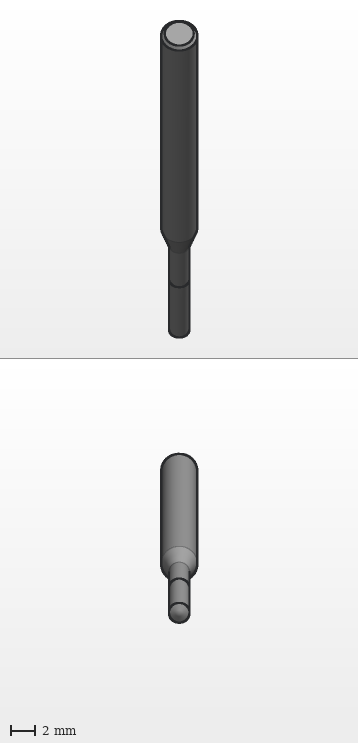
import cadquery as cq

total_length = 43.0
shank_diameter = 3.0
cutter_diameter = 1.7
shank_chamfer = 0.3
tip_height = 0.35
cutter_length = 7.6
neck_length = 4.9
taper_length = 2.5

shank_radius = shank_diameter / 2
cutter_radius = cutter_diameter / 2
tip_z = -total_length / 2
top_z = total_length / 2
tip_shoulder_z = tip_z + tip_height
joint_z = tip_z + cutter_length
taper_bottom_z = joint_z + neck_length
taper_top_z = taper_bottom_z + taper_length


def turned_body(plane, profile):
    """Revolve a closed (radius, height) profile about the Z axis, starting in the given plane."""
    return cq.Workplane(plane).polyline(profile).close().revolve(360, (0, 0), (0, 1))


def make_cutter():
    """Cylindrical cutting end with a shallow conical point."""
    return turned_body("XZ", [
        (0, tip_z),
        (-cutter_radius, tip_shoulder_z),
        (-cutter_radius, joint_z),
        (0, joint_z),
    ])


def make_shank():
    """Gripping shank with a tapered neck below and a chamfered top edge."""
    return turned_body("YZ", [
        (0, joint_z),
        (-cutter_radius, joint_z),
        (-cutter_radius, taper_bottom_z),
        (-shank_radius, taper_top_z),
        (-shank_radius, top_z - shank_chamfer),
        (-(shank_radius - shank_chamfer), top_z),
        (0, top_z),
    ])


cutter = make_cutter()
shank = make_shank()

result = cq.Compound.makeCompound([cutter.val(), shank.val()])